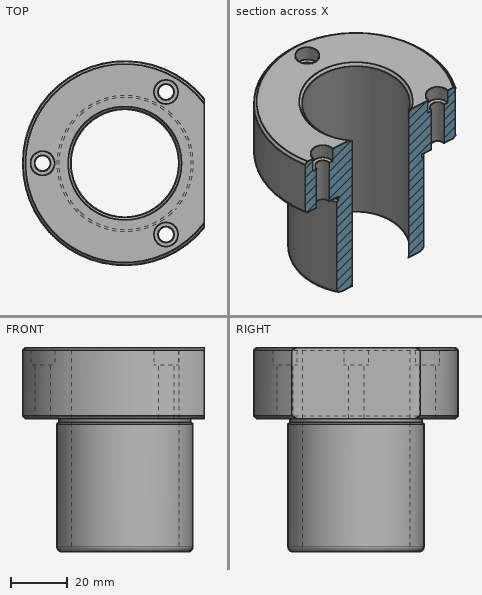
import cadquery as cq

total_height = 72.0
flange_height = 25.0
flange_bottom = total_height - flange_height

flange_diameter = 72.0
flange_chamfer = 1.0
flat_distance = 28.0

sleeve_diameter = 48.0
sleeve_end_fillet = 2.0
groove_depth = 0.7
groove_height = 2.0
groove_core_diameter = sleeve_diameter - 2 * groove_depth
sleeve_height = flange_bottom - groove_height

bore_diameter = 38.0
bore_chamfer = 1.0

screw_count = 3
screw_circle_diameter = 58.0
screw_hole_diameter = 5.5
counterbore_diameter = 8.5
counterbore_depth = 6.0
first_screw_angle = 180.0


def make_flange():
    """Chamfered disc with one side cut flat on +X."""
    disc = (
        cq.Workplane("XY")
        .workplane(offset=flange_bottom)
        .circle(flange_diameter / 2)
        .extrude(flange_height)
        .edges()
        .chamfer(flange_chamfer)
    )
    beyond_flat = cq.Workplane("XY").box(
        flange_diameter, flange_diameter, flange_height, centered=(False, True, False)
    )
    return disc.cut(beyond_flat.translate((flat_distance, 0, flange_bottom)))


def make_sleeve():
    """Cylinder rounded at the bottom, tapering at 45 degrees into the groove core at the top."""
    guide = (
        cq.Workplane("XY")
        .circle(sleeve_diameter / 2)
        .extrude(sleeve_height + groove_depth)
        .faces("<Z")
        .edges()
        .fillet(sleeve_end_fillet)
        .faces(">Z")
        .edges()
        .chamfer(groove_depth)
    )
    groove_core = (
        cq.Workplane("XY")
        .workplane(offset=sleeve_height)
        .circle(groove_core_diameter / 2)
        .extrude(groove_height)
    )
    return guide.union(groove_core)


def cut_bore(body):
    """Through bore with a chamfered mouth at the top."""
    bored = body.cut(cq.Workplane("XY").circle(bore_diameter / 2).extrude(total_height))
    mouth = (
        cq.Workplane("XY")
        .workplane(offset=total_height)
        .circle(bore_diameter / 2 + bore_chamfer)
        .workplane(offset=-bore_chamfer)
        .circle(bore_diameter / 2)
        .loft(ruled=True)
    )
    return bored.cut(mouth)


def cut_screw_holes(body):
    """Counterbored holes evenly spaced on the screw circle."""
    return (
        body.faces(">Z")
        .workplane(origin=(0, 0, total_height))
        .polarArray(screw_circle_diameter / 2, first_screw_angle, 360, screw_count)
        .cboreHole(screw_hole_diameter, counterbore_diameter, counterbore_depth, flange_height)
    )


flange_and_sleeve = make_flange().union(make_sleeve())
result = cut_screw_holes(cut_bore(flange_and_sleeve))